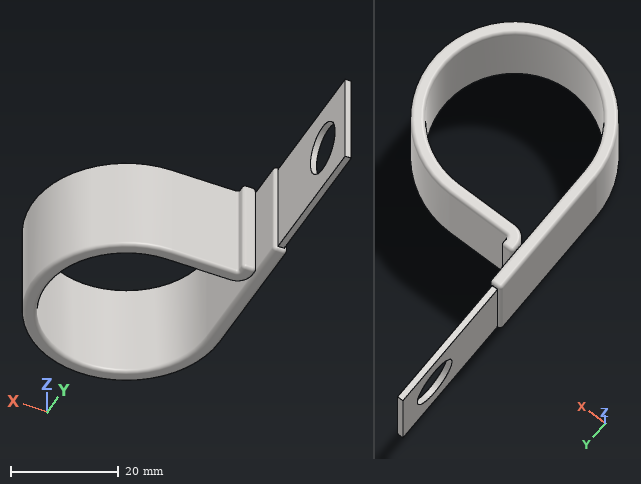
import cadquery as cq

loop_radius = 19.45
cushion_thickness = 2.8
cushion_height = 20.6
edge_radius = 0.8
cushion_end_y = 28.7

tab_thickness = cushion_thickness - 2 * edge_radius
tab_height = cushion_height - 2 * edge_radius
overall_length = 76.6
tab_end_y = overall_length - loop_radius
hole_diameter = 10.35
hole_end_distance = tab_height / 2

hook_gap = 0.1
hook_inner_radius = 0.4
hook_outer_radius = hook_inner_radius + cushion_thickness
hook_tip_length = 1.7

bore_radius = loop_radius - cushion_thickness
leg_center_x = -(loop_radius - cushion_thickness / 2)
hook_outer_x = -bore_radius + hook_gap
hook_inner_x = hook_outer_x + cushion_thickness
bend_center_x = hook_outer_x + hook_outer_radius
bend_center_y = loop_radius + hook_inner_radius
hook_tip_y = bend_center_y + hook_tip_length


def bend_midpoint(radius):
    """Point halfway around the hook bend at the given radius."""
    offset = radius / 2**0.5
    return (bend_center_x - offset, bend_center_y - offset)


def make_cushion():
    """Leg, loop, arm and hook as one extruded band with rounded edges."""
    outer_mid = loop_radius / 2**0.5
    bore_mid = bore_radius / 2**0.5
    band = (
        cq.Workplane("XY")
        .workplane(offset=-cushion_height / 2)
        .moveTo(-loop_radius, cushion_end_y)
        .lineTo(-loop_radius, 0)
        .threePointArc((outer_mid, -outer_mid), (0, loop_radius))
        .lineTo(bend_center_x, loop_radius)
        .threePointArc(bend_midpoint(hook_inner_radius), (hook_inner_x, bend_center_y))
        .lineTo(hook_inner_x, hook_tip_y)
        .lineTo(hook_outer_x, hook_tip_y)
        .lineTo(hook_outer_x, bend_center_y)
        .threePointArc(bend_midpoint(hook_outer_radius), (bend_center_x, bore_radius))
        .lineTo(0, bore_radius)
        .threePointArc((bore_mid, -bore_mid), (-bore_radius, 0))
        .lineTo(-bore_radius, cushion_end_y)
        .close()
        .extrude(cushion_height)
    )
    rims = band.faces(">Z or <Z").edges()
    leg_end_edges = band.faces(">Y").edges("|Z")
    hook_tip_point = ((hook_outer_x + hook_inner_x) / 2, hook_tip_y, 0)
    hook_end_edges = band.faces(cq.NearestToPointSelector(hook_tip_point)).edges("|Z")
    return rims.add(leg_end_edges).add(hook_end_edges).fillet(edge_radius)


def make_tab():
    """Flat tab rooted inside the leg, with one mounting hole through X."""
    tab_length = tab_end_y
    hole_y = tab_end_y - hole_end_distance
    blank = cq.Workplane("XY").box(tab_thickness, tab_length, tab_height)
    blank = blank.translate((leg_center_x, tab_length / 2, 0))
    drill = (
        cq.Workplane("YZ")
        .center(hole_y, 0)
        .circle(hole_diameter / 2)
        .extrude(-loop_radius)
    )
    return blank.cut(drill)


result = make_cushion().union(make_tab())